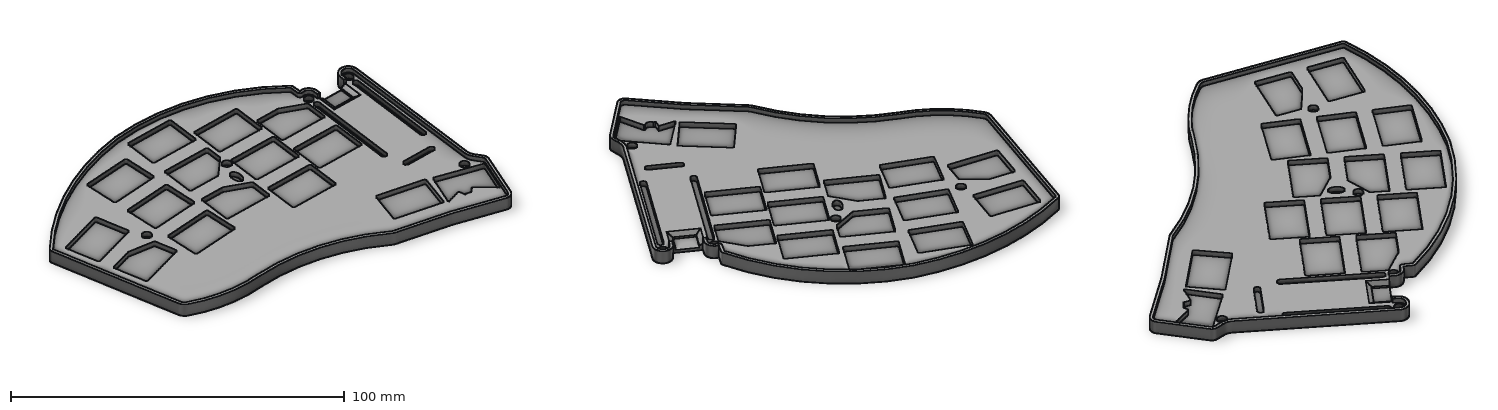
import cadquery as cq
import math

PLATE_LENGTH = 120.5
PLATE_HEIGHT = 4.6
RIM_WIDTH = 1.0
DECK_Z = 2.9
POCKET_FLOOR_Z = 1.0

TILT = -17.0
HOLE_DIAMETER = 3.1
BOSS_RADIUS = HOLE_DIAMETER
BOSS_SPAN = 15.7
LOWER_BOSS_X = 39.3
LOWER_BOSS_Y = PLATE_LENGTH - BOSS_RADIUS - BOSS_SPAN * math.cos(math.radians(TILT))
LOWER_BOSS = (LOWER_BOSS_X, LOWER_BOSS_Y)

NOTCH_EDGE = HOLE_DIAMETER / 2
NOTCH_LENGTH = 5.5
NOTCH_WIDTH = 7.2
NOTCH_FLOOR_Z = 1.1
NOTCH_SLOPE_Z = 1.8
NOTCH_SLOPE_RUN = 1.6

BOTTOM_LEFT = (12.3, 0.0)
BOTTOM_RIGHT = (59.5, 0.0)
LOWER_LEFT_CURVE = (1.1, 30.1)
LEFT_CURVE_JOINT = (0.8, 54.8)
UPPER_LEFT_CURVE = (9.6, 78.9)
SHOULDER = (32.8, 103.2)
VALLEY = (94.4, 105.3)
PEAK = (99.6, 107.1)
TIP = (116.2, 95.8)
FLANK_BEND = (104.9, 79.0)
WAIST = (95.0, 61.9)
WAIST_CURVE = (79.4, 43.4)
HIP = (71.9, 24.1)
HIP_CURVE = (68.2, 12.6)
BLEND_RADIUS = 8.5 / 2
CORNER_RADII = [
    (BOTTOM_LEFT, 1.6),
    (BOTTOM_RIGHT, 3.5),
    (SHOULDER, 1.1),
    (VALLEY, BLEND_RADIUS),
    (PEAK, 2.4),
    (TIP, 2.4),
    (WAIST, BLEND_RADIUS),
]

KEY_WIDTH = 12.0
KEY_LENGTH = 17.0
KEY_PITCH = 17.0
KEY_CORNER_RADIUS = 0.6
LEFT_CLIP = (4.0, 8.3, -1)
RIGHT_CLIP = (6.0, 6.0, 1)
KEY_ROWS = [
    ((20.6, 13.6), 0.0, [None, LEFT_CLIP]),
    ((11.9, 40.2), -12.0, [None, None, None]),
    ((12.6, 62.2), TILT, [None, RIGHT_CLIP, LEFT_CLIP]),
    ((26.6, 77.2), TILT, [None, None, None]),
    ((39.6, 91.8), TILT, [LEFT_CLIP, None]),
    ((89.6, 79.5), -30.0, [None]),
]

THUMB_CENTRE = (99.9, 95.0)
THUMB_ANGLE = -34.5
THUMB_STEP_LEFT = 100.1
THUMB_STEP_RIGHT = 102.5
THUMB_STEP_Y = 90.2
THUMB_LEDGE_Y = 94.1

DECK_HOLES = [(94.8, 101.9), (34.6, 64.0), (32.0, 23.2), (101.7, 92.3)]
OVAL_CENTRE = (40.2, 60.5)
OVAL_LENGTH = 5.0
OVAL_WIDTH = 3.0
SLOT_WIDTH = 2.0
LONG_SLOT = 32.8
SHORT_SLOT = 11.9
SLOTS = [
    ((61.8, 111.9), LONG_SLOT, TILT),
    ((57.3, 97.2), LONG_SLOT, TILT),
    ((81.2, 97.9), SHORT_SLOT, TILT + 90),
]


def rotated(u, v, angle, origin):
    """Point (u, v) of a frame turned by angle degrees about origin."""
    c = math.cos(math.radians(angle))
    s = math.sin(math.radians(angle))
    return (origin[0] + u * c - v * s, origin[1] + u * s + v * c)


def boss_frame(u, v):
    """Point in the tilted frame of the lower boss; v runs towards the upper boss."""
    return rotated(u, v, TILT, LOWER_BOSS)


def placed(body, angle, origin):
    """Turn a body about the Z axis, then move it to origin."""
    return body.rotate((0, 0, 0), (0, 0, 1), angle).translate((origin[0], origin[1], 0))


def plate_blank():
    """Solid plate with the full outline and rounded corners."""
    diagonal = BOSS_RADIUS * math.sqrt(0.5)
    blank = (
        cq.Workplane("XY")
        .moveTo(*BOTTOM_LEFT)
        .threePointArc(LOWER_LEFT_CURVE, LEFT_CURVE_JOINT)
        .threePointArc(UPPER_LEFT_CURVE, SHOULDER)
        .lineTo(LOWER_BOSS_X - BOSS_RADIUS, LOWER_BOSS_Y)
        .threePointArc(boss_frame(-diagonal, diagonal), boss_frame(0, BOSS_RADIUS))
        .lineTo(*boss_frame(NOTCH_EDGE, BOSS_RADIUS))
        .lineTo(*boss_frame(NOTCH_EDGE, BOSS_SPAN - BOSS_RADIUS))
        .lineTo(*boss_frame(0, BOSS_SPAN - BOSS_RADIUS))
        .threePointArc(boss_frame(-BOSS_RADIUS, BOSS_SPAN), boss_frame(0, BOSS_SPAN + BOSS_RADIUS))
        .lineTo(*VALLEY)
        .lineTo(*PEAK)
        .lineTo(*TIP)
        .lineTo(*FLANK_BEND)
        .lineTo(*WAIST)
        .threePointArc(WAIST_CURVE, HIP)
        .threePointArc(HIP_CURVE, BOTTOM_RIGHT)
        .close()
        .extrude(PLATE_HEIGHT)
    )
    for (x, y), radius in CORNER_RADII:
        corner = cq.selectors.NearestToPointSelector((x, y, PLATE_HEIGHT / 2))
        blank = blank.edges("|Z").edges(corner).fillet(radius)
    return blank


def tray_cavity(blank):
    """Space above the deck inside the rim, open at the notch."""
    cavity = (
        cq.Workplane("XY")
        .add(blank.faces("<Z").wires().vals())
        .toPending()
        .offset2D(-RIM_WIDTH)
        .extrude(PLATE_HEIGHT - DECK_Z)
        .translate((0, 0, DECK_Z))
    )
    gap_width = BOSS_SPAN - 2 * (BOSS_RADIUS - RIM_WIDTH)
    gap = (
        cq.Workplane("XY", origin=(NOTCH_EDGE + RIM_WIDTH, BOSS_SPAN / 2, DECK_Z))
        .rect(2 * RIM_WIDTH, gap_width)
        .extrude(PLATE_HEIGHT - DECK_Z)
    )
    return cavity.union(placed(gap, TILT, LOWER_BOSS))


def notch_recess():
    """Connector recess, open at the plate edge, with upright walls below sloped ones."""
    straight = (
        cq.Workplane("XY", origin=(NOTCH_EDGE + NOTCH_LENGTH / 2, BOSS_SPAN / 2, NOTCH_FLOOR_Z))
        .rect(NOTCH_LENGTH, NOTCH_WIDTH)
        .extrude(NOTCH_SLOPE_Z - NOTCH_FLOOR_Z)
    )
    sloped = (
        straight.faces(">Z").wires().toPending()
        .workplane(offset=DECK_Z - NOTCH_SLOPE_Z)
        .center(NOTCH_SLOPE_RUN / 2, 0)
        .rect(NOTCH_LENGTH + NOTCH_SLOPE_RUN, NOTCH_WIDTH + 2 * NOTCH_SLOPE_RUN)
        .loft(combine=False)
    )
    return placed(straight.union(sloped), TILT, LOWER_BOSS)


def key_outline(clip):
    """Corners of a key pocket, with one far corner cut off when a clip is given."""
    x = KEY_WIDTH / 2
    y = KEY_LENGTH / 2
    if clip is None:
        return [(-x, -y), (x, -y), (x, y), (-x, y)]
    across, along, side = clip
    return [
        (side * x, -y),
        (-side * x, -y),
        (-side * x, y),
        (side * (x - across), y),
        (side * x, y - along),
    ]


def key_pocket(centre, angle, clip=None):
    pocket = (
        cq.Workplane("XY", origin=(0, 0, POCKET_FLOOR_Z))
        .polyline(key_outline(clip))
        .close()
        .extrude(DECK_Z - POCKET_FLOOR_Z)
        .edges("|Z")
        .fillet(KEY_CORNER_RADIUS)
    )
    return placed(pocket, angle, centre)


def thumb_pocket():
    """Key pocket less the stepped piece of deck kept on its right side."""
    corner_x, corner_y = rotated(KEY_WIDTH / 2, KEY_LENGTH / 2, THUMB_ANGLE, THUMB_CENTRE)
    beyond_x = corner_x + KEY_WIDTH
    below_y = THUMB_STEP_Y - KEY_LENGTH
    kept_deck = (
        cq.Workplane("XY")
        .moveTo(THUMB_STEP_LEFT, THUMB_STEP_Y)
        .lineTo(THUMB_STEP_RIGHT, THUMB_STEP_Y)
        .lineTo(THUMB_STEP_RIGHT, THUMB_LEDGE_Y)
        .lineTo(corner_x, corner_y)
        .lineTo(beyond_x, corner_y)
        .lineTo(beyond_x, below_y)
        .lineTo(THUMB_STEP_LEFT, below_y)
        .close()
        .extrude(PLATE_HEIGHT)
    )
    return key_pocket(THUMB_CENTRE, THUMB_ANGLE).cut(kept_deck)


def round_holes():
    """Blind holes in both bosses and across the deck."""
    return (
        cq.Workplane("XY", origin=(0, 0, POCKET_FLOOR_Z))
        .pushPoints([LOWER_BOSS, boss_frame(0, BOSS_SPAN)] + DECK_HOLES)
        .circle(HOLE_DIAMETER / 2)
        .extrude(DECK_Z - POCKET_FLOOR_Z)
    )


def oval_hole():
    oval = (
        cq.Workplane("XY", origin=(0, 0, POCKET_FLOOR_Z))
        .ellipse(OVAL_LENGTH / 2, OVAL_WIDTH / 2)
        .extrude(DECK_Z - POCKET_FLOOR_Z)
    )
    return placed(oval, TILT, OVAL_CENTRE)


def slot(centre, length, angle):
    body = (
        cq.Workplane("XY", origin=(0, 0, POCKET_FLOOR_Z))
        .slot2D(length, SLOT_WIDTH)
        .extrude(DECK_Z - POCKET_FLOOR_Z)
    )
    return placed(body, angle, centre)


blank = plate_blank()
result = blank.cut(tray_cavity(blank)).cut(notch_recess())

for first_centre, row_angle, clips in KEY_ROWS:
    for index, clip in enumerate(clips):
        key_centre = rotated(index * KEY_PITCH, 0, row_angle, first_centre)
        result = result.cut(key_pocket(key_centre, row_angle, clip))

result = result.cut(thumb_pocket()).cut(round_holes()).cut(oval_hole())

for slot_centre, slot_length, slot_angle in SLOTS:
    result = result.cut(slot(slot_centre, slot_length, slot_angle))